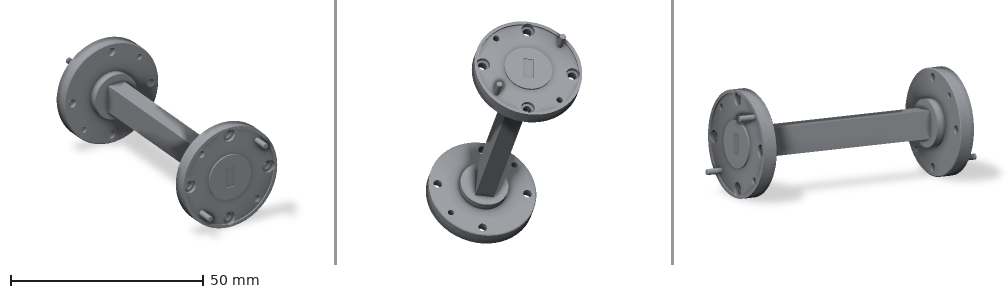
import cadquery as cq
import math

overall_length = 71.25
pin_protrusion = 3.9
flange_thickness = 4.0
hub_length = 2.35
face_x = overall_length / 2 - pin_protrusion
flange_back_x = face_x - flange_thickness
hub_end_x = flange_back_x - hub_length

flange_diameter = 28.6
flange_back_chamfer = 0.2
hub_diameter = 12.7
relief_outer_diameter = 26.8
relief_depth = 0.5

tube_width = 5.0
tube_height = 7.5
port_width = 2.85
port_height = 5.7
port_depth = 0.2

pitch_radius = 11.9
screw_hole_diameter = 2.3
counterbore_diameter = 3.55
counterbore_depth = 1.5
pin_diameter = 1.6
pin_tip_chamfer = 0.15
free_hole_diameter = 1.65
free_hole_chamfer = 0.15

screw_angles = [0, 90, 180, 270]
rising_diagonal = [45, 225]
falling_diagonal = [135, 315]

ends = [
    (-1, falling_diagonal, rising_diagonal),
    (1, rising_diagonal, falling_diagonal),
]


def rod(diameter, x_start, x_end, y=0.0, z=0.0):
    """Cylinder parallel to X between two X positions."""
    plane = cq.Plane(origin=(x_start, y, z), xDir=(0, 1, 0), normal=(1, 0, 0))
    return cq.Workplane(plane).circle(diameter / 2).extrude(x_end - x_start)


def block(x_start, x_end, width, height):
    """Rectangular bar centred on the X axis between two X positions."""
    bar = cq.Workplane("XY").box(abs(x_end - x_start), width, height)
    return bar.translate(((x_start + x_end) / 2, 0, 0))


def pitch_point(angle):
    """Y, Z position on the pitch circle, measured from +Y towards +Z."""
    radians = math.radians(angle)
    return pitch_radius * math.cos(radians), pitch_radius * math.sin(radians)


def make_flange(side):
    """Flange disc with its rear hub."""
    inner_face = ">X" if side < 0 else "<X"
    disc = rod(flange_diameter, side * flange_back_x, side * face_x)
    disc = disc.faces(inner_face).edges().chamfer(flange_back_chamfer)
    return disc.union(rod(hub_diameter, side * hub_end_x, side * flange_back_x))


def face_recesses(side):
    """Recessed relief ring and shallow rectangular port in the contact face."""
    floor_x = side * (face_x - relief_depth)
    ring = rod(relief_outer_diameter, floor_x, side * face_x)
    ring = ring.cut(rod(hub_diameter, floor_x, side * face_x))
    port = block(side * (face_x - port_depth), side * face_x, port_width, port_height)
    return ring.union(port)


def drill(body, side, angle, diameter, depth):
    """Round hole sunk from the contact face at one pitch circle position."""
    y, z = pitch_point(angle)
    return body.cut(rod(diameter, side * (face_x - depth), side * face_x, y, z))


def chamfer_free_hole(body, side, angle):
    """Conical lead-in at the relief floor around one free hole."""
    y, z = pitch_point(angle)
    mouth = cq.Vector(side * (face_x - relief_depth), y, z)
    hole_radius = free_hole_diameter / 2
    inward = cq.Vector(-side, 0, 0)
    cone = cq.Solid.makeCone(hole_radius + free_hole_chamfer, hole_radius, free_hole_chamfer, mouth, inward)
    return body.cut(cq.Workplane(cone))


def make_waveguide():
    """Tube with a flange at each end, as one solid."""
    waveguide = block(-hub_end_x, hub_end_x, tube_width, tube_height)
    for side, pin_angles, free_angles in ends:
        waveguide = waveguide.union(make_flange(side))
        waveguide = waveguide.cut(face_recesses(side))
        for angle in screw_angles:
            waveguide = drill(waveguide, side, angle, screw_hole_diameter, flange_thickness)
            waveguide = drill(waveguide, side, angle, counterbore_diameter, counterbore_depth)
        for angle in pin_angles:
            waveguide = drill(waveguide, side, angle, pin_diameter, flange_thickness)
        for angle in free_angles:
            waveguide = drill(waveguide, side, angle, free_hole_diameter, flange_thickness)
            waveguide = chamfer_free_hole(waveguide, side, angle)
    return waveguide


def make_pin(side, angle):
    """Alignment pin, flush with the back of the flange and chamfered at its free tip."""
    tip_face = "<X" if side < 0 else ">X"
    y, z = pitch_point(angle)
    pin = rod(pin_diameter, side * flange_back_x, side * overall_length / 2, y, z)
    return pin.faces(tip_face).edges().chamfer(pin_tip_chamfer)


waveguide = make_waveguide()
pins = [make_pin(side, angle) for side, pin_angles, _ in ends for angle in pin_angles]

result = cq.Compound.makeCompound([waveguide.val(), *[pin.val() for pin in pins]])